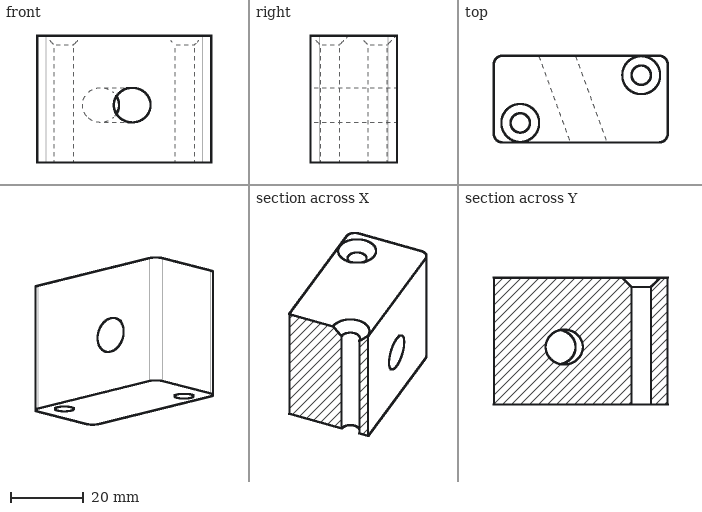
import cadquery as cq
import math

length = 47.9
width = 23.9
height = 34.9
corner_radius = 2.5

screw_x = 16.6
screw_y = 6.55
screw_diameter = 5.25
countersink_diameter = 10.45
countersink_angle = 90.0

cross_diameter = 9.5
cross_entry_x = 2.2
cross_height = 15.8
cross_angle = 20.0


def make_block():
    block = cq.Workplane("XY").box(length, width, height, centered=(True, True, False))
    return block.edges("|Z").fillet(corner_radius)


def cut_screw_holes(body):
    centres = [(screw_x, screw_y), (-screw_x, -screw_y)]
    return (
        body.faces(">Z")
        .workplane(origin=(0, 0, height))
        .pushPoints(centres)
        .cskHole(screw_diameter, countersink_diameter, countersink_angle)
    )


def make_cross_hole():
    swing = math.radians(cross_angle)
    direction = cq.Vector(-math.sin(swing), math.cos(swing), 0)
    entry = cq.Vector(cross_entry_x, -width / 2, cross_height)
    start = entry - direction * width
    return cq.Solid.makeCylinder(cross_diameter / 2, 3 * width, start, direction)


result = cut_screw_holes(make_block()).cut(make_cross_hole())